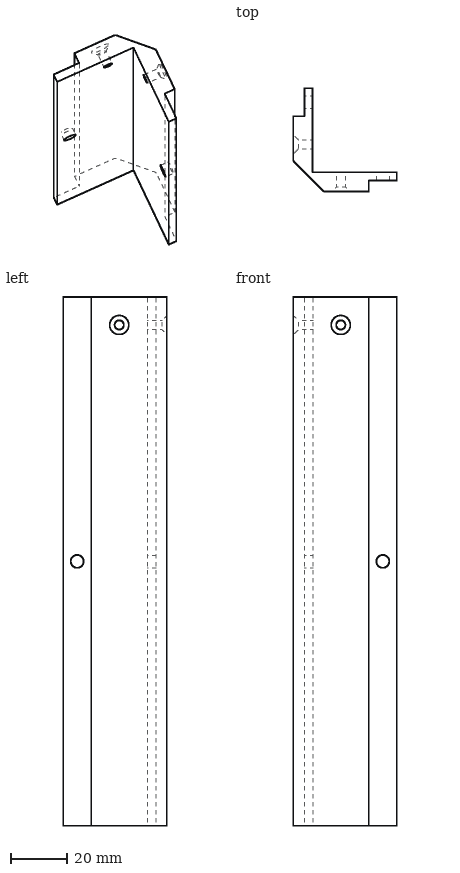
import cadquery as cq

length = 188.5
leg = 37.0
thickness = 7.0
lip_thickness = 3.0
lip_width = 10.0
corner_chamfer = 11.0
corner_radius = 1.3

screw_offset = 17.0
screw_top_distance = 10.0
screw_diameter = 3.2
countersink_diameter = 6.8

lip_hole_diameter = 4.5

step = thickness - lip_thickness
shoulder = leg - lip_width
screw_height = length - screw_top_distance
lip_hole_offset = leg - lip_width / 2


def rail_body():
    """Extrude the angle section and round both edges of the corner chamfer."""
    section = [
        (corner_chamfer, 0),
        (shoulder, 0),
        (shoulder, step),
        (leg, step),
        (leg, thickness),
        (thickness, thickness),
        (thickness, leg),
        (step, leg),
        (step, shoulder),
        (0, shoulder),
        (0, corner_chamfer),
    ]
    body = cq.Workplane("XY").polyline(section).close().extrude(length)
    for x, y in ((corner_chamfer, 0), (0, corner_chamfer)):
        edge = body.edges(cq.selectors.NearestToPointSelector((x, y, length / 2)))
        body = edge.fillet(corner_radius)
    return body


def drill_leg(body, inward, across):
    """Drill one leg from outside; 'across' points from the corner along the leg."""

    def outside_plane(offset, height, depth):
        origin = across * offset + inward * depth + cq.Vector(0, 0, height)
        return cq.Workplane(cq.Plane(origin, xDir=across, normal=inward * -1))

    screw_plane = outside_plane(screw_offset, screw_height, 0)
    countersink_depth = (countersink_diameter - screw_diameter) / 2
    cone = cq.Solid.makeCone(
        countersink_diameter / 2,
        screw_diameter / 2,
        countersink_depth,
        pnt=screw_plane.plane.origin,
        dir=inward,
    )
    screw_hole = screw_plane.circle(screw_diameter / 2).extrude(-thickness)

    lip_plane = outside_plane(lip_hole_offset, length / 2, step)
    lip_hole = lip_plane.circle(lip_hole_diameter / 2).extrude(-lip_thickness)
    return body.cut(screw_hole).cut(cq.Workplane(cone)).cut(lip_hole)


x_axis = cq.Vector(1, 0, 0)
y_axis = cq.Vector(0, 1, 0)
result = rail_body()
result = drill_leg(result, inward=y_axis, across=x_axis)
result = drill_leg(result, inward=x_axis, across=y_axis)